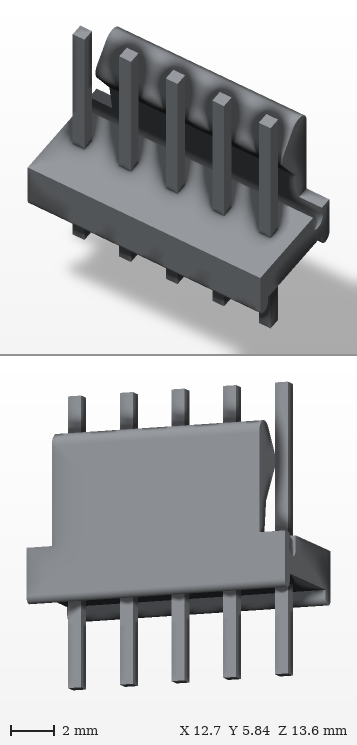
import cadquery as cq
import math


PIN_COUNT = 5
PITCH = 2.54
PIN_WIDTH = 0.64
PIN_BOTTOM = -4.22
PIN_LENGTH = 13.59

HOUSING_LENGTH = PIN_COUNT * PITCH
HOUSING_DEPTH = 5.84
HOUSING_HEIGHT = 1.905
BACK_Y = 3.18
FRONT_Y = BACK_Y - HOUSING_DEPTH

FOOT_WIDTH = 0.635
FOOT_HEIGHT = 0.67

SLOT_RADIUS = 0.415
SLOT_CENTER = (2.22, 1.28)

LATCH_LENGTH = 10.2
LATCH_TOP = 7.22
CROWN_RADIUS = 0.635
CROWN_CENTER = (BACK_Y - CROWN_RADIUS, LATCH_TOP - CROWN_RADIUS)
NOSE_RADIUS = 0.76
NOSE_TIP_Y = 1.14
NOSE_CENTER = (NOSE_TIP_Y + NOSE_RADIUS, 5.56)
KNEE = (2.32, 3.51)


def on_circle(center, radius, angle):
    """Point on a circle in the YZ plane, with the angle measured from +Y towards +Z."""
    return (center[0] + radius * math.cos(angle), center[1] + radius * math.sin(angle))


def tangent_normal(start, start_radius, end, end_radius):
    """Angle of the outward normal of the line that touches two circles of a profile.

    The profile is walked from start to end with the material on its left.
    A concave circle has a negative radius and a sharp corner has radius zero.
    """
    dy = end[0] - start[0]
    dz = end[1] - start[1]
    lean = math.acos((start_radius - end_radius) / math.hypot(dy, dz))
    return math.atan2(dz, dy) - lean


def make_base():
    """Housing block spanning one pitch per pin, with its two feet."""
    block = cq.Workplane("XY").box(
        HOUSING_LENGTH, HOUSING_DEPTH, HOUSING_HEIGHT, centered=(True, False, False)
    )
    base = block.translate((0, FRONT_Y, 0))
    for foot_front in (FRONT_Y, BACK_Y - FOOT_WIDTH):
        base = base.union(make_foot(foot_front))
    return base


def make_foot(foot_front):
    """Rail with a half-round lower edge; its front face is at Y = foot_front."""
    foot_back = foot_front + FOOT_WIDTH
    round_start = FOOT_WIDTH / 2 - FOOT_HEIGHT
    return (
        cq.Workplane("YZ")
        .moveTo(foot_front, 0)
        .lineTo(foot_front, round_start)
        .threePointArc((foot_front + FOOT_WIDTH / 2, -FOOT_HEIGHT), (foot_back, round_start))
        .lineTo(foot_back, 0)
        .close()
        .extrude(HOUSING_LENGTH / 2, both=True)
    )


def make_slot():
    """Round-bottomed slot whose back side leans along the lower face of the latch wall."""
    lean = tangent_normal(KNEE, 0, SLOT_CENTER, -SLOT_RADIUS)
    slot_back = on_circle(SLOT_CENTER, -SLOT_RADIUS, lean)
    slot_front = on_circle(SLOT_CENTER, SLOT_RADIUS, math.pi)
    slot_bottom = on_circle(SLOT_CENTER, SLOT_RADIUS, -math.pi / 2)
    return (
        cq.Workplane("YZ")
        .moveTo(*KNEE)
        .lineTo(*slot_back)
        .threePointArc(slot_bottom, slot_front)
        .lineTo(slot_front[0], KNEE[1])
        .close()
        .extrude(HOUSING_LENGTH / 2, both=True)
    )


def make_latch():
    """Upright wall with a rounded crown and a hooked nose leaning towards the pins."""
    upper = tangent_normal(CROWN_CENTER, CROWN_RADIUS, NOSE_CENTER, NOSE_RADIUS)
    lower = tangent_normal(NOSE_CENTER, NOSE_RADIUS, KNEE, 0)
    root = on_circle(
        SLOT_CENTER, -SLOT_RADIUS, tangent_normal(KNEE, 0, SLOT_CENTER, -SLOT_RADIUS)
    )
    return (
        cq.Workplane("YZ")
        .moveTo(BACK_Y, root[1])
        .lineTo(BACK_Y, CROWN_CENTER[1])
        .threePointArc(
            (CROWN_CENTER[0], LATCH_TOP),
            on_circle(CROWN_CENTER, CROWN_RADIUS, upper),
        )
        .lineTo(*on_circle(NOSE_CENTER, NOSE_RADIUS, upper))
        .threePointArc(
            (NOSE_TIP_Y, NOSE_CENTER[1]),
            on_circle(NOSE_CENTER, NOSE_RADIUS, lower),
        )
        .lineTo(*KNEE)
        .lineTo(*root)
        .close()
        .extrude(LATCH_LENGTH / 2, both=True)
    )


def make_pins():
    """Row of square pins running through the housing."""
    return (
        cq.Workplane("XY")
        .workplane(offset=PIN_BOTTOM)
        .rarray(PITCH, PITCH, PIN_COUNT, 1)
        .rect(PIN_WIDTH, PIN_WIDTH)
        .extrude(PIN_LENGTH)
    )


result = make_base().cut(make_slot()).union(make_latch()).union(make_pins())